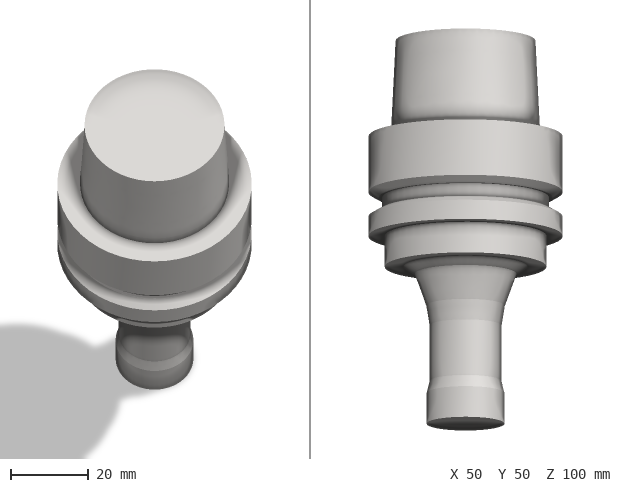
import cadquery as cq
import math

total_height = 100.0
flange_radius = 50.0 / 2
flange_bottom = 49.0
flange_top = 75.0

groove_floor_radius = 43.0 / 2
groove_bottom = 55.5
groove_top = 59.0
groove_flare_height = 1.5
groove_flare_angle = 60.0
groove_flare_width = groove_flare_height * math.tan(math.radians(groove_flare_angle))
groove_flare_radius = flange_radius - groove_flare_width

shank_base_radius = 38.3 / 2
shank_base_top = 77.0
shank_top_radius = 18.0

collar_radius = 41.6 / 2
collar_bottom = 41.0

slim_cone_top_radius = 10.1
slim_cone_top = 30.8
middle_cone_top_radius = 13.1
middle_cone_top = 39.1
wide_cone_top_radius = 16.0

stem_radius = 18.5 / 2
stem_top = 25.6
stem_bottom = 11.1
tip_radius = 20.0 / 2
tip_top = 8.0


def tip_and_neck(profile):
    """Continue the half profile from the axis at the tip up to the collar."""
    return (
        profile.lineTo(tip_radius, 0)
        .lineTo(tip_radius, tip_top)
        .lineTo(stem_radius, stem_bottom)
        .lineTo(stem_radius, stem_top)
        .lineTo(slim_cone_top_radius, slim_cone_top)
        .lineTo(middle_cone_top_radius, middle_cone_top)
        .lineTo(wide_cone_top_radius, collar_bottom)
    )


def collar_and_flange(profile):
    """Continue the half profile around the collar, flange and gripper groove."""
    return (
        profile.lineTo(collar_radius, collar_bottom)
        .lineTo(collar_radius, flange_bottom)
        .lineTo(flange_radius, flange_bottom)
        .lineTo(flange_radius, groove_bottom - groove_flare_height)
        .lineTo(groove_flare_radius, groove_bottom)
        .lineTo(groove_floor_radius, groove_bottom)
        .lineTo(groove_floor_radius, groove_top)
        .lineTo(groove_flare_radius, groove_top)
        .lineTo(flange_radius, groove_top + groove_flare_height)
        .lineTo(flange_radius, flange_top)
    )


def shank(profile):
    """Finish the half profile along the shank, ending on the axis."""
    return (
        profile.lineTo(shank_base_radius, flange_top)
        .lineTo(shank_base_radius, shank_base_top)
        .lineTo(shank_top_radius, total_height)
        .lineTo(0, total_height)
    )


axis_start = cq.Workplane("YZ").moveTo(0, 0)
half_profile = shank(collar_and_flange(tip_and_neck(axis_start))).close()
result = half_profile.revolve(360, (0, 0, 0), (0, 1, 0))